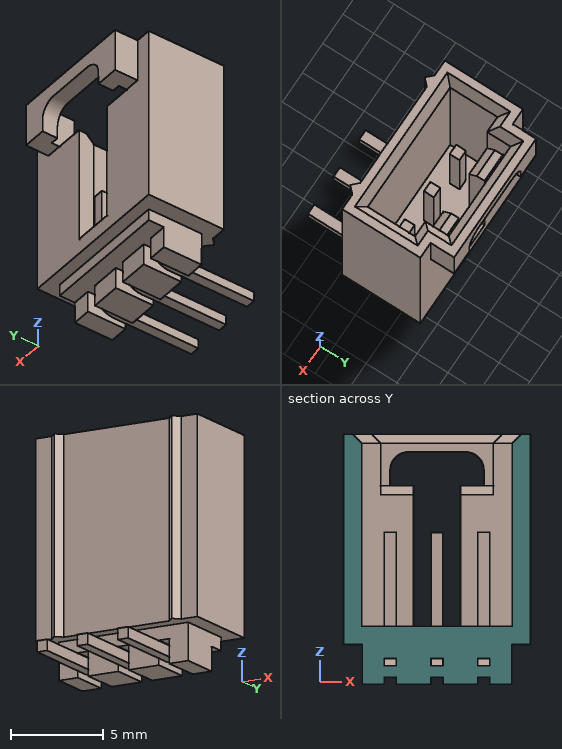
import cadquery as cq
import math


pin_count = 3
pitch = 2.54
pin_size = 0.64
pin_underside = 0.38
pin_bend_radius = 0.64
pin_reach = 3.68
pin_centre_y = -0.03
pin_exposed = 5.08

total_height = 13.59
shroud_width = (pin_count + 1) * pitch
shroud_depth = 2 * pitch
rim = 0.5
lead_in = 0.5
wall = rim + lead_in
floor_thickness = 1.0
rib_depth = 0.38

frame_width = 8.13
frame_reach = 1.52
frame_height = 2.8
arch_width = 5.08
arch_top_gap = 0.98
arch_radius = 1.0
latch_slot_width = pitch

base_height = 2.16
base_width = frame_width
base_setback = 0.76
upper_base_height = 0.76
upper_base_depth = 3.56
lower_base_depth = 2.54

front = -shroud_depth / 2
back = shroud_depth / 2
frame_bottom = total_height - frame_height
cavity_floor = base_height + floor_thickness
step_level = base_height - upper_base_height
base_front = front + base_setback
pin_positions = [(i - (pin_count - 1) / 2) * pitch for i in range(pin_count)]


def block(width, y_min, y_max, z_min, z_max, x=0.0):
    """Box centred on x, given by its limits in Y and Z."""
    return (
        cq.Workplane("XY")
        .box(width, y_max - y_min, z_max - z_min, centered=(True, False, False))
        .translate((x, y_min, z_min))
    )


def lead_in_cut(width, y_min, y_max):
    """Tapered mouth: full size at the top rim, narrowing by lead_in on every side."""
    return (
        cq.Workplane("XY", origin=(0, (y_min + y_max) / 2, total_height))
        .rect(width, y_max - y_min)
        .workplane(offset=-lead_in)
        .rect(width - 2 * lead_in, y_max - y_min - 2 * lead_in)
        .loft(ruled=True)
    )


def make_rib(x):
    """Full-height V rib on the front face of the shroud."""
    return (
        cq.Workplane("XY", origin=(x, front, base_height))
        .polyline([(-rib_depth, 0), (0, -rib_depth), (rib_depth, 0)])
        .close()
        .extrude(total_height - base_height)
    )


def make_shroud():
    outside = block(shroud_width, front, back, base_height, total_height)
    frame = block(frame_width, front, back + frame_reach, frame_bottom, total_height)
    shroud = outside.union(frame)
    rib_offset = base_width / 2 - rib_depth
    for side in (-1, 1):
        shroud = shroud.union(make_rib(side * rib_offset))
    return shroud


def make_cavity():
    """Main pocket plus the narrower latch opening, both with a tapered mouth."""
    pocket = block(shroud_width - 2 * wall, front + wall, back - wall, cavity_floor, total_height)
    pocket_mouth = lead_in_cut(shroud_width - 2 * rim, front + rim, back - rim)
    opening_width = frame_width - 2 * wall
    opening = block(opening_width, front + wall, back + frame_reach - wall, frame_bottom, total_height)
    opening_mouth = lead_in_cut(frame_width - 2 * rim, front + rim, back + frame_reach - rim)
    return pocket.union(opening).union(pocket_mouth).union(opening_mouth)


def make_sill_chamfer():
    """Chamfer on the inner edge of the back wall, below the latch frame."""
    return (
        cq.Workplane("YZ", origin=(-(frame_width / 2 - wall), 0, 0))
        .moveTo(back - wall, frame_bottom)
        .lineTo(back - wall + lead_in, frame_bottom)
        .lineTo(back - wall, frame_bottom - lead_in)
        .close()
        .extrude(frame_width - 2 * wall)
    )


def make_latch_slot():
    """Slot through the back wall from the cavity floor up to the latch frame."""
    return block(latch_slot_width, back - wall, back, cavity_floor, frame_bottom)


def make_arch():
    """Opening through the rear of the latch frame, with rounded upper corners."""
    arch_height = frame_height - arch_top_gap
    return (
        block(arch_width, back + frame_reach - wall, back + frame_reach, frame_bottom,
              frame_bottom + arch_height)
        .edges("|Y and >Z")
        .fillet(arch_radius)
    )


def make_base():
    base_upper = block(base_width, base_front, base_front + upper_base_depth, step_level, base_height)
    base_lower = block(base_width, base_front, base_front + lower_base_depth, 0, step_level)
    base = base_upper.union(base_lower)
    for x in pin_positions:
        base = base.cut(block(pin_size, base_front, base_front + lower_base_depth, 0, step_level, x))
    return base


def make_pin(x):
    """Square pin: upright in the cavity, bent to a tail that points to -Y."""
    half = pin_size / 2
    upright_front = pin_centre_y - half
    upright_back = pin_centre_y + half
    tip = cavity_floor + pin_exposed
    tail_end = front - pin_reach
    tail_top = pin_underside + pin_size
    bend_y = upright_front - pin_bend_radius
    bend_z = tail_top + pin_bend_radius
    outer_radius = pin_bend_radius + pin_size
    diagonal = math.sqrt(0.5)
    inner_mid = (bend_y + pin_bend_radius * diagonal, bend_z - pin_bend_radius * diagonal)
    outer_mid = (bend_y + outer_radius * diagonal, bend_z - outer_radius * diagonal)
    return (
        cq.Workplane("YZ", origin=(x - half, 0, 0))
        .moveTo(tail_end, pin_underside)
        .lineTo(bend_y, pin_underside)
        .threePointArc(outer_mid, (upright_back, bend_z))
        .lineTo(upright_back, tip)
        .lineTo(upright_front, tip)
        .lineTo(upright_front, bend_z)
        .threePointArc(inner_mid, (bend_y, tail_top))
        .lineTo(tail_end, tail_top)
        .close()
        .extrude(pin_size)
    )


result = make_shroud().cut(make_cavity())
result = result.cut(make_sill_chamfer()).cut(make_latch_slot()).cut(make_arch())
result = result.union(make_base())
for pin_x in pin_positions:
    result = result.union(make_pin(pin_x))